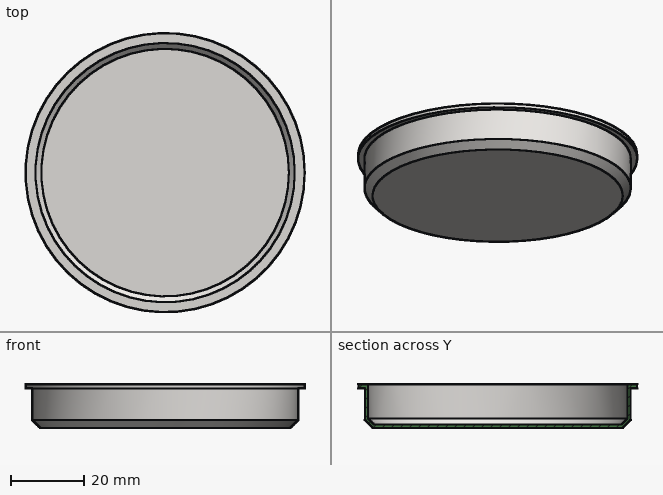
import cadquery as cq

flange_diameter = 76.5
height = 12.0
flange_thickness = 1.15

body_diameter = 73.0
bore_diameter = 71.0
wall = (body_diameter - bore_diameter) / 2
floor_thickness = wall
taper_height = 2.2
base_diameter = body_diameter - 2 * taper_height
inner_taper_height = 1.6
floor_diameter = bore_diameter - 2 * inner_taper_height

flange_radius = flange_diameter / 2
body_radius = body_diameter / 2
bore_radius = bore_diameter / 2

half_section = [
    (0, 0),
    (base_diameter / 2, 0),
    (body_radius, taper_height),
    (body_radius, height - flange_thickness),
    (flange_radius, height - flange_thickness),
    (flange_radius, height),
    (bore_radius, height),
    (bore_radius, floor_thickness + inner_taper_height),
    (floor_diameter / 2, floor_thickness),
    (0, floor_thickness),
]

result = (
    cq.Workplane("XZ")
    .polyline(half_section)
    .close()
    .revolve(360, (0, 0, 0), (0, 1, 0))
)